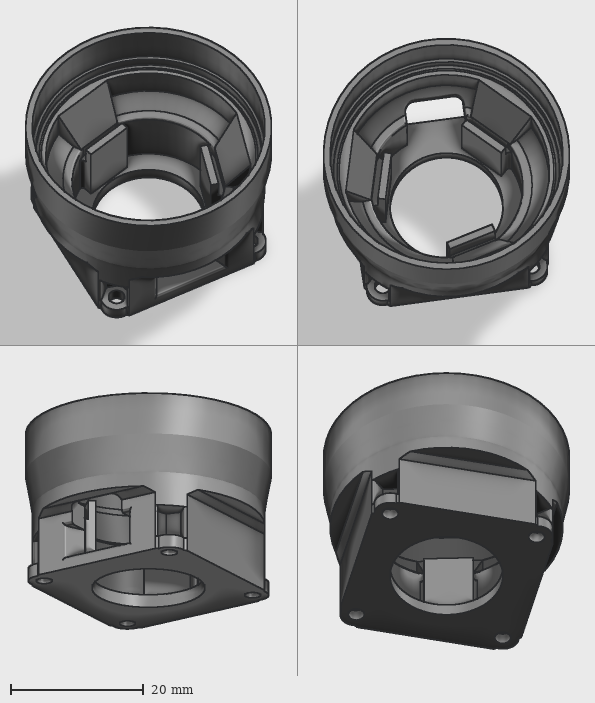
import cadquery as cq
import math

rim_radius = 18.5
body_radius = 17.5
height = 24.5
rim_bottom = 18.02
flare_bottom = 12.3
body_bottom = 10.0

base_apothem = 14.0
base_top = 9.0
overhang = body_bottom - base_top

mouth_radius, mouth_floor = 17.5, 18.5
seat_radius, seat_floor = 17.0, 17.02
groove_outer, groove_inner = 16.45, 16.17
bowl_radius, bowl_floor = 15.45, 12.5
funnel_radius, funnel_floor = 12.88, 11.0
cavity_radius = 11.47
lip_radius = 0.37
floor = 2.0
floor_hole_radius = 8.49

screw_circle = 16.0
screw_hole_diameter = 2.4
tab_radius = 2.4
pocket_top = 7.0
pocket_width = 4.0
pocket_edge_radius = 0.37

connector_angle = -45.0
window_half_width = 5.9
window_top = 6.95
window_edge_radius = 0.55
slot_half_width = 4.48
slot_end = 13.9
slot_knee = 11.03
slot_corner_radius = 1.48

guide_angles = (30.0, 150.0, 270.0)
ramp_foot = 11.0
ramp_half_angle = math.radians(18.7)
post_inner, post_outer = 8.788, 9.95
post_top = 12.0
post_half_width = 3.7
block_fillet_radius = 0.6

margin = 0.37
tolerance = 0.05
touch_tolerance = 0.0005


def turned(shape, angle):
    """Turn a shape about the Z axis."""
    return shape.rotate((0, 0, 0), (0, 0, 1), angle)


def cylinder(radius, bottom, top):
    return cq.Workplane("XY").workplane(offset=bottom).circle(radius).extrude(top - bottom)


def block(x_min, x_max, half_width, bottom, top):
    """Box along +X, symmetric about the XZ plane."""
    size = (x_max - x_min, 2 * half_width, top - bottom)
    return cq.Workplane("XY").box(*size, centered=(False, True, False)).translate((x_min, 0, bottom))


def outer_body():
    cup = (
        cq.Workplane("XZ")
        .polyline(
            [
                (0, 0),
                (body_radius, 0),
                (body_radius, flare_bottom),
                (rim_radius, rim_bottom),
                (rim_radius, height),
                (0, height),
            ]
        )
        .close()
        .revolve(360, (0, 0, 0), (0, 1, 0))
    )
    outside = (
        cq.Workplane("XZ")
        .polyline(
            [
                (base_apothem, -margin),
                (base_apothem, base_top),
                (base_apothem + overhang, body_bottom),
                (rim_radius, body_bottom),
                (rim_radius, -margin),
            ]
        )
        .close()
        .extrude(rim_radius, both=True)
    )
    for angle in (45, 135, 225, 315):
        cup = cup.cut(turned(outside, angle))
    return cup


def bowl():
    """Stepped upper interior, with a half-round groove in its upper ledge."""
    groove_middle = (groove_outer + groove_inner) / 2
    groove_depth = (groove_outer - groove_inner) / 2
    return (
        cq.Workplane("XZ")
        .moveTo(0, height)
        .lineTo(mouth_radius, height)
        .lineTo(mouth_radius, mouth_floor)
        .lineTo(seat_radius, mouth_floor)
        .lineTo(seat_radius, seat_floor)
        .lineTo(groove_outer, seat_floor)
        .threePointArc((groove_middle, seat_floor - groove_depth), (groove_inner, seat_floor))
        .lineTo(bowl_radius, seat_floor)
        .lineTo(bowl_radius, bowl_floor)
        .lineTo(funnel_radius, funnel_floor)
        .lineTo(0, funnel_floor)
        .close()
        .revolve(360, (0, 0, 0), (0, 1, 0))
    )


def cable_slot():
    """Slot from the cavity outward; below the knee its end wall leans outward at 45 degrees."""
    reach = rim_radius - slot_end
    slot = (
        cq.Workplane("XZ")
        .polyline(
            [
                (0, floor),
                (rim_radius, floor),
                (rim_radius, slot_knee - reach),
                (slot_end, slot_knee),
                (slot_end, bowl_floor + margin),
                (0, bowl_floor + margin),
            ]
        )
        .close()
        .extrude(slot_half_width, both=True)
    )
    end_edges = cq.selectors.BoxSelector(
        (slot_end - margin, -rim_radius, slot_knee - reach + margin),
        (rim_radius - margin, rim_radius, bowl_floor + margin),
    )
    slot = slot.edges(end_edges).edges("not |Y").fillet(slot_corner_radius)
    return turned(slot, connector_angle)


def connector_window():
    """Opening through the wall that widens outward from the slot width, its outer edge rounded over."""
    throat_x = math.sqrt(cavity_radius**2 - slot_half_width**2)
    wall = (
        cq.Workplane("XY")
        .workplane(offset=floor)
        .polyline(
            [
                (throat_x, -slot_half_width),
                (base_apothem, -window_half_width),
                (base_apothem, window_half_width),
                (throat_x, slot_half_width),
            ]
        )
        .close()
        .extrude(window_top - floor)
    )
    throat = block(floor_hole_radius, throat_x, slot_half_width, floor, window_top)
    outside = block(base_apothem, rim_radius, 2 * window_half_width, 0, base_top)
    opening = wall.union(throat).union(outside)
    mouth = cq.selectors.BoxSelector(
        (base_apothem - tolerance, -window_half_width - tolerance, floor - tolerance),
        (base_apothem + tolerance, window_half_width + tolerance, window_top + tolerance),
    )
    opening = opening.edges(mouth).fillet(window_edge_radius)
    opening = opening.intersect(block(0, base_apothem, window_half_width * 2, 0, base_top))
    return turned(opening, connector_angle)


def lipped_interior(body):
    """Cut the bowl, cavity and cable slot, and round the lip where the bowl meets the other two."""
    cavity = cylinder(cavity_radius, floor, funnel_floor + margin).union(cable_slot())
    body = body.cut(bowl()).cut(cavity)

    def on_lip(edge):
        middle = cq.Vertex.makeVertex(*edge.positionAt(0.5).toTuple())
        return all(middle.distance(cut.val()) < touch_tolerance for cut in (cavity, bowl()))

    return body.edges().filter(on_lip).fillet(lip_radius)


def ramp():
    """Wedge with radial sides whose sloped top runs from the bowl ledge down to the cavity."""
    ramp_head = bowl_radius * math.cos(ramp_half_angle)
    reach = bowl_radius + margin
    half_reach = reach * math.tan(ramp_half_angle)
    slope = (
        cq.Workplane("XZ")
        .polyline(
            [
                (ramp_foot, base_top),
                (ramp_foot, funnel_floor),
                (ramp_head, seat_floor),
                (reach, seat_floor),
                (reach, bowl_floor),
                (cavity_radius + margin, base_top),
            ]
        )
        .close()
        .extrude(bowl_radius, both=True)
    )
    sector = (
        cq.Workplane("XY")
        .polyline([(0, 0), (reach, -half_reach), (reach, half_reach)])
        .close()
        .extrude(height)
    )
    return slope.intersect(sector).intersect(cylinder(reach, 0, height))


def backing_block():
    """Block between post and cavity wall, blended into the wall on both sides."""
    wall = cylinder(body_radius, floor, base_top).cut(cylinder(cavity_radius, floor, base_top))
    block_end = cavity_radius + margin / 2
    joined = wall.union(block(post_outer, block_end, post_half_width, floor, base_top))
    corner_x = math.sqrt(cavity_radius**2 - post_half_width**2)
    corners = cq.selectors.BoxSelector(
        (corner_x - tolerance, -post_half_width - tolerance, floor),
        (corner_x + tolerance, post_half_width + tolerance, base_top),
    )
    joined = joined.edges("|Z").edges(corners).fillet(block_fillet_radius)
    blend_half_width = post_half_width + block_fillet_radius
    return joined.intersect(block(post_inner, block_end, blend_half_width, floor, base_top))


def add_guides(body):
    post = block(post_inner, post_outer, post_half_width, floor, post_top)
    guide = ramp().union(backing_block()).union(post)
    for angle in guide_angles:
        body = body.union(turned(guide, angle))
    return body


def screw_corner_pocket():
    """Hexagonal head pocket, open to the outside."""
    half_width = pocket_width / 2
    hexagon = cq.Workplane("XY").polygon(6, pocket_width / math.cos(math.pi / 6)).extrude(pocket_top - floor)
    hexagon = hexagon.translate((screw_circle, 0, floor))
    return hexagon.union(block(screw_circle, rim_radius, half_width, floor, pocket_top))


def add_screw_corners(body):
    tab = cylinder(tab_radius, 0, floor).translate((screw_circle, 0, 0))
    hole = cylinder(screw_hole_diameter / 2, 0, floor).translate((screw_circle, 0, 0))

    def on_pocket_mouth(edge):
        middle = edge.positionAt(0.5)
        on_skin = math.hypot(middle.x, middle.y) > body_radius - tolerance
        on_side = abs(min(abs(middle.x), abs(middle.y)) - pocket_width / 2) < tolerance
        return on_skin and on_side

    corner_angles = (0, 90, 180, 270)
    for angle in corner_angles:
        body = body.cut(turned(screw_corner_pocket(), angle))
    body = body.edges("|Z").filter(on_pocket_mouth).fillet(pocket_edge_radius)
    for angle in corner_angles:
        body = body.union(turned(tab, angle)).cut(turned(hole, angle))
    return body


result = lipped_interior(outer_body())
result = result.cut(connector_window())
result = result.cut(cylinder(floor_hole_radius, 0, floor))
result = add_guides(result)
result = add_screw_corners(result)